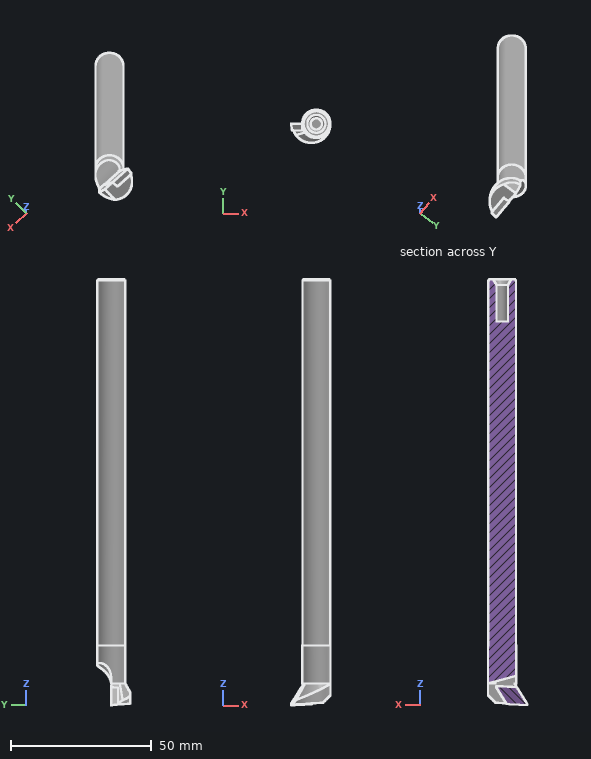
import cadquery as cq
import math

total_length = 151.25
total_width = 14.04
shank_diameter = 9.99
neck_diameter = 10.09
neck_radius = neck_diameter / 2
shank_start_z = 21.3
top_chamfer = 0.5

bore_diameter = 4.0
bore_mouth_diameter = 6.4
bore_depth = 15.0
countersink_depth = 2.0

cone_top_z = 7.7
cone_half_angle = 29.2
head_radius = 6.8
head_offset = neck_radius - head_radius
heel_chamfer = 2.7
underside_setback = 0.32

gullet_roof_start_z = 8.35
gullet_radius = 6.0
gullet_tilt = -15.0

insert_side = 7.75
insert_angle = 55.0
insert_lead_angle = 3.0
insert_thickness = 2.38
insert_relief_angle = 7.0
nose_radius = 0.4
rake_face_y = 0.05
nose_tip_x = neck_radius - total_width

clearance_setback = 0.35
clearance_turn = 2.0

cutter_size = 60.0

flank_angle = insert_lead_angle + insert_angle
bisector = math.radians(insert_lead_angle + insert_angle / 2)
nose_center_distance = nose_radius / math.sin(math.radians(insert_angle / 2))
corner_x = nose_tip_x + nose_radius - nose_center_distance * math.cos(bisector)
corner_z = nose_radius - nose_center_distance * math.sin(bisector)


def along(angle, distance):
    """Step in the XZ plane as a local (x, y) vector, its angle measured from +X toward +Z."""
    direction = math.radians(angle)
    return cq.Vector(distance * math.cos(direction), distance * math.sin(direction))


def make_insert():
    """Rhombic plate with rounded corners, its four flanks leaning in below the rake face."""
    corner = cq.Vector(corner_x, corner_z)
    bottom_end = corner + along(insert_lead_angle, insert_side)
    flank_end = corner + along(flank_angle, insert_side)
    far_corner = bottom_end + along(flank_angle, insert_side)
    points = [(p.x, p.y) for p in (corner, bottom_end, far_corner, flank_end, corner)]
    outline = cq.Sketch().polygon(points).vertices().fillet(nose_radius)
    rake_plane = cq.Workplane("XZ", origin=(0, rake_face_y, 0))
    return rake_plane.placeSketch(outline).extrude(insert_thickness, taper=insert_relief_angle)


def make_shank():
    """Long round shank with a chamfered end and a countersunk blind bore."""
    shank = (
        cq.Workplane("XY", origin=(0, 0, shank_start_z))
        .circle(shank_diameter / 2)
        .extrude(total_length - shank_start_z)
        .faces(">Z")
        .chamfer(top_chamfer)
    )
    bore_profile = [
        (0, total_length),
        (bore_mouth_diameter / 2, total_length),
        (bore_diameter / 2, total_length - countersink_depth),
        (bore_diameter / 2, total_length - bore_depth),
        (0, total_length - bore_depth),
    ]
    bore = cq.Workplane("XZ").polyline(bore_profile).close().revolve(360, (0, 0), (0, 1))
    return shank.cut(bore)


def make_neck():
    """Round neck between head and shank, with the gullet milled into its +Y side."""
    neck_length = shank_start_z - cone_top_z
    neck = cq.Workplane("XY", origin=(0, 0, cone_top_z)).circle(neck_radius).extrude(neck_length)
    return neck.cut(make_gullet_cutter())


def make_head():
    """Half cone on the -Y side, its flat in the plane y = 0."""
    cone_bottom_radius = neck_radius + cone_top_z * math.tan(math.radians(cone_half_angle))
    profile = [(0, 0), (cone_bottom_radius, 0), (neck_radius, cone_top_z), (0, cone_top_z)]
    cone = cq.Workplane("XZ").polyline(profile).close().revolve(180, (0, 0), (0, -1))
    envelope = cq.Workplane("XY").center(head_offset, 0).circle(head_radius).extrude(cone_top_z)
    return cone.intersect(envelope).cut(make_underside_cutter())


def make_underside_cutter():
    """Region below the head: an underside parallel to the insert edge, then a 45 degree heel."""
    def underside_z(x):
        return corner_z + underside_setback + (x - corner_x) * math.tan(math.radians(insert_lead_angle))

    heel_x = neck_radius - heel_chamfer
    return (
        cq.Workplane("XZ")
        .moveTo(corner_x, underside_z(corner_x))
        .lineTo(heel_x, underside_z(heel_x))
        .lineTo(neck_radius, underside_z(heel_x) + heel_chamfer)
        .lineTo(neck_radius, -cutter_size)
        .lineTo(corner_x, -cutter_size)
        .close()
        .extrude(cutter_size / 2, both=True)
    )


def make_gullet_cutter():
    """Flat-backed groove along a tilted line, its roof a quarter round rising away from the flat."""
    tilt = math.radians(gullet_tilt)
    plane = cq.Plane(
        origin=(0, 0, gullet_roof_start_z),
        xDir=(0, 1, 0),
        normal=(math.cos(tilt), 0, math.sin(tilt)),
    )
    half_bend = math.radians(45)
    arc_middle = (gullet_radius * (1 - math.cos(half_bend)), gullet_radius * math.sin(half_bend))
    return (
        cq.Workplane(plane)
        .moveTo(0, -cutter_size)
        .lineTo(0, 0)
        .threePointArc(arc_middle, (gullet_radius, gullet_radius))
        .lineTo(cutter_size, gullet_radius)
        .lineTo(cutter_size, -cutter_size)
        .close()
        .extrude(cutter_size, both=True)
    )


def make_clearance_cutter():
    """Block outside the clearance flat, which runs beside the insert flank up to the cone top."""
    clearance_angle = flank_angle + clearance_turn
    edge_direction = along(clearance_angle, 1)
    outward = along(clearance_angle + 90, 1)
    relief = math.radians(insert_relief_angle)
    origin = cq.Vector(corner_x, corner_z) - outward * clearance_setback
    plane = cq.Plane(
        origin=(origin.x, 0, origin.y),
        xDir=(edge_direction.x, 0, edge_direction.y),
        normal=(outward.x * math.cos(relief), -math.sin(relief), outward.y * math.cos(relief)),
    )
    outside = cq.Workplane(plane).rect(cutter_size, cutter_size).extrude(cutter_size)
    below_cone_top = cq.Workplane("XY").rect(cutter_size, cutter_size).extrude(cone_top_z)
    return outside.intersect(below_cone_top)


insert = make_insert()
front_end = make_neck().union(make_head()).cut(make_clearance_cutter())
bar = front_end.cut(insert).union(make_shank())

result = cq.Compound.makeCompound([bar.solids().val(), insert.val()])